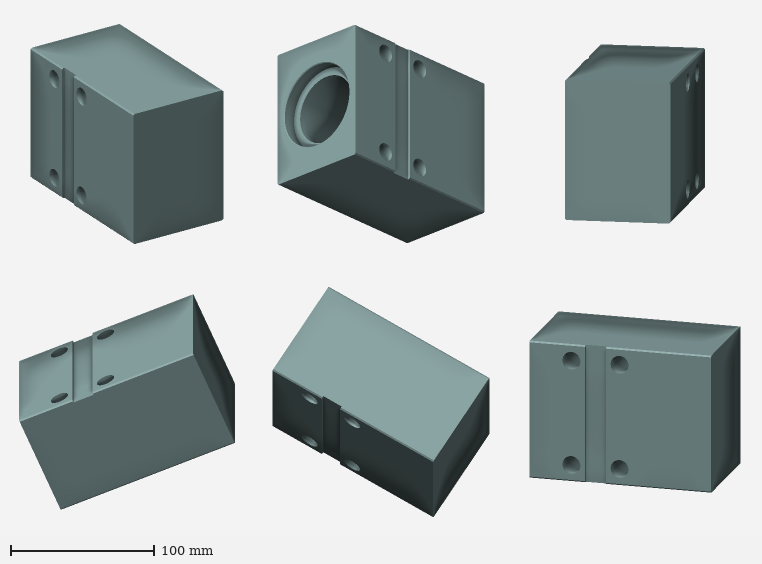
import cadquery as cq

length = 132
width = 75.0
height = 100.0
edge_chamfer = 1.0

bore_diameter = 50.0
bore_floor_thickness = 19.8
counterbore_diameter = 61.8
counterbore_depth = 10.0
mouth_chamfer = 0.6

groove_center_x = 48.0
groove_width = 15.0
groove_depth = 2.0
bolt_diameter = 13.0
bolt_spacing_x = 35.0
bolt_spacing_z = 76.0


def make_block():
    """Rectangular block with its four long edges chamfered."""
    block = cq.Workplane("XY").box(length, width, height, centered=(False, True, True))
    return block.edges("|X").chamfer(edge_chamfer)


def make_bore():
    """Stepped blind bore, as a solid of revolution about the X axis."""
    bore_radius = bore_diameter / 2
    counterbore_radius = counterbore_diameter / 2
    bore_depth = length - bore_floor_thickness
    return (
        cq.Workplane("XY")
        .lineTo(0, counterbore_radius + mouth_chamfer)
        .lineTo(mouth_chamfer, counterbore_radius)
        .lineTo(counterbore_depth, counterbore_radius)
        .lineTo(counterbore_depth, bore_radius)
        .lineTo(bore_depth, bore_radius)
        .lineTo(bore_depth, 0)
        .close()
        .revolve(360, (0, 0, 0), (1, 0, 0))
    )


def make_key_groove():
    """Shallow groove over the full height of the -Y face."""
    return (
        cq.Workplane("XY")
        .box(groove_width, groove_depth, height, centered=(True, False, True))
        .translate((groove_center_x, -width / 2, 0))
    )


def make_bolt_holes():
    """Four holes through the block along Y, evenly placed about the groove."""
    return (
        cq.Workplane("XZ", origin=(groove_center_x, 0, 0))
        .rarray(bolt_spacing_x, bolt_spacing_z, 2, 2)
        .circle(bolt_diameter / 2)
        .extrude(width / 2, both=True)
    )


result = make_block().cut(make_bore()).cut(make_key_groove()).cut(make_bolt_holes())